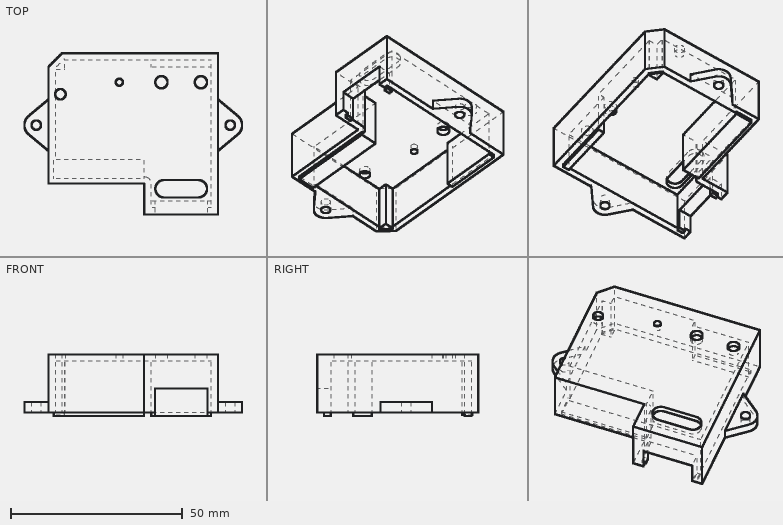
import cadquery as cq
import math

body_width = 49.4
body_depth = 47.0
body_height = 17.0
corner_chamfer = 4.0
nose_width = 21.5
nose_depth = 9.0
wall = 2.0
left = -body_width / 2
right = body_width / 2
back = body_depth
nose_left = right - nose_width
nose_centre = right - nose_width / 2
cavity_height = body_height - wall

rib_drop = 1.0
rib_thickness = 2.0
step_rib_offset = 1.5
step_rib_thickness = 5.5
post_drop = 0.6
post_inset = 1.8
post_size = 2.95
post_chamfer = 2.75

ear_pitch = 56.45
ear_radius = 3.5
ear_base_width = 15.0
ear_thickness = 3.2
ear_y = 26.0
ear_hole = 2.7

window_width = 15.2
window_top = 7.0
slot_length = 15.0
slot_width = 5.0
slot_y = 7.5
hole_row_y = back - 8.5
roof_holes = [
    (left + 3.5, back - 12.0, 3.0),
    (right - 28.75, hole_row_y, 2.0),
    (right - 16.5, hole_row_y, 3.5),
    (right - 5.0, hole_row_y, 3.5),
]


def block(x_min, x_max, y_min, y_max, z_min, z_max):
    """Axis-aligned box given by its limits."""
    size = (x_max - x_min, y_max - y_min, z_max - z_min)
    return cq.Workplane("XY").box(*size, centered=False).translate((x_min, y_min, z_min))


def make_shell():
    """Stepped, chamfered housing, hollow and open at the bottom."""
    outline = (
        cq.Workplane("XY")
        .moveTo(nose_left, 0)
        .lineTo(right, 0)
        .lineTo(right, back)
        .lineTo(left + corner_chamfer, back)
        .lineTo(left, back - corner_chamfer)
        .lineTo(left, nose_depth)
        .lineTo(nose_left, nose_depth)
        .close()
    )
    return outline.extrude(body_height).faces("<Z").shell(-wall)


def make_corner_post():
    """Square post behind the chamfered corner, cut parallel to the chamfer."""
    x_min = left + post_inset
    y_max = back - post_inset
    post = block(x_min, x_min + post_size, y_max - post_size, y_max, -post_drop, cavity_height)
    return post.edges("|Z and <X and >Y").chamfer(post_chamfer)


def add_ribs(body):
    """Front and back ribs of the nose, the wide rib behind the step, and the corner post."""
    nose_rib_limits = (nose_left + wall, right - wall)
    for y_min in (wall, back - wall - rib_thickness):
        body = body.union(block(*nose_rib_limits, y_min, y_min + rib_thickness, -rib_drop, cavity_height))
    step_rib_y = nose_depth + step_rib_offset
    step_rib = block(
        left + step_rib_offset,
        nose_left,
        step_rib_y,
        step_rib_y + step_rib_thickness,
        -rib_drop,
        cavity_height,
    )
    return body.union(step_rib).union(make_corner_post())


def make_ear(side):
    """Ear with a rounded tip and flanks tangent to it; side is -1 (left) or +1 (right)."""
    face_x = side * body_width / 2
    tip_x = side * ear_pitch / 2
    half_base = ear_base_width / 2
    reach = abs(tip_x - face_x)
    base_distance = math.hypot(reach, half_base)
    tangent_angle = math.pi - math.atan2(half_base, reach) - math.acos(ear_radius / base_distance)
    tangent_x = tip_x + side * ear_radius * math.cos(tangent_angle)
    tangent_y = ear_radius * math.sin(tangent_angle)
    inner_x = face_x - side * wall / 2
    return (
        cq.Workplane("XY")
        .moveTo(inner_x, ear_y - half_base)
        .lineTo(face_x, ear_y - half_base)
        .lineTo(tangent_x, ear_y - tangent_y)
        .threePointArc((tip_x + side * ear_radius, ear_y), (tangent_x, ear_y + tangent_y))
        .lineTo(face_x, ear_y + half_base)
        .lineTo(inner_x, ear_y + half_base)
        .close()
        .extrude(ear_thickness)
        .cut(cq.Workplane("XY").center(tip_x, ear_y).circle(ear_hole / 2).extrude(ear_thickness))
    )


def cut_window(body):
    """Rectangular opening through the front wall and its rib, open at the bottom."""
    x_min = nose_centre - window_width / 2
    window = block(x_min, x_min + window_width, 0, wall + rib_thickness, -rib_drop, window_top)
    return body.cut(window)


def cut_roof(body):
    """Round holes and the slot through the roof."""
    roof = cq.Workplane("XY").workplane(offset=cavity_height)
    for x, y, diameter in roof_holes:
        body = body.cut(roof.center(x, y).circle(diameter / 2).extrude(wall))
    slot = roof.center(nose_centre, slot_y).slot2D(slot_length, slot_width).extrude(wall)
    return body.cut(slot)


result = add_ribs(make_shell())
for ear_side in (-1, 1):
    result = result.union(make_ear(ear_side))
result = cut_roof(cut_window(result))